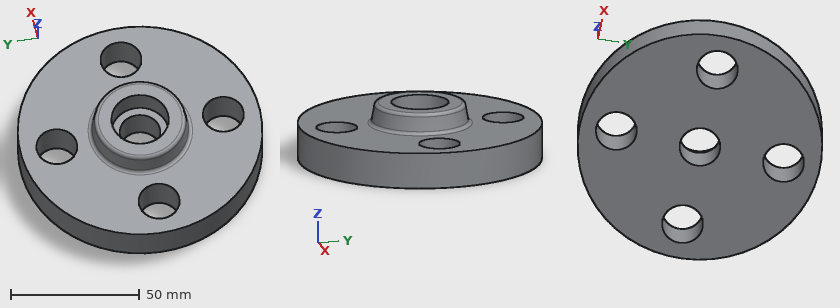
import cadquery as cq
import math

flange_diameter = 95.2
flange_thickness = 14.2
total_height = 22.4

hub_base_diameter = 38.1
hub_taper_angle = 10
hub_edge_radius = 1.5

bore_diameter = 15.8
socket_diameter = 22.3
socket_depth = 9.5

bolt_hole_count = 4
bolt_hole_diameter = 15.9
bolt_circle_diameter = 66.5

hub_height = total_height - flange_thickness
hub_top_diameter = hub_base_diameter - 2 * hub_height * math.tan(math.radians(hub_taper_angle))


def make_body():
    """Disc and hub revolved about Z, with the hub's foot and rim rounded."""
    profile = (
        cq.Workplane("XZ")
        .lineTo(flange_diameter / 2, 0)
        .lineTo(flange_diameter / 2, flange_thickness)
        .lineTo(hub_base_diameter / 2, flange_thickness)
        .lineTo(hub_top_diameter / 2, total_height)
        .lineTo(0, total_height)
        .close()
    )
    body = profile.revolve(360, (0, 0, 0), (0, 1, 0))
    body = body.faces(">Z").edges().fillet(hub_edge_radius)
    hub_foot = cq.selectors.RadiusNthSelector(0)
    disc_top = body.faces("+Z").faces("<Z")
    return disc_top.edges(hub_foot).fillet(hub_edge_radius)


def cut_stepped_bore(body):
    """Cut the through bore and the wider pipe socket at its top."""
    return body.faces(">Z").workplane(origin=(0, 0, 0)).cboreHole(
        bore_diameter, socket_diameter, socket_depth
    )


def cut_bolt_holes(body):
    """Cut the ring of bolt holes, the first one on the X axis."""
    holes = (
        cq.Workplane("XY")
        .polarArray(bolt_circle_diameter / 2, 0, 360, bolt_hole_count)
        .circle(bolt_hole_diameter / 2)
        .extrude(flange_thickness)
    )
    return body.cut(holes)


result = cut_bolt_holes(cut_stepped_bore(make_body()))